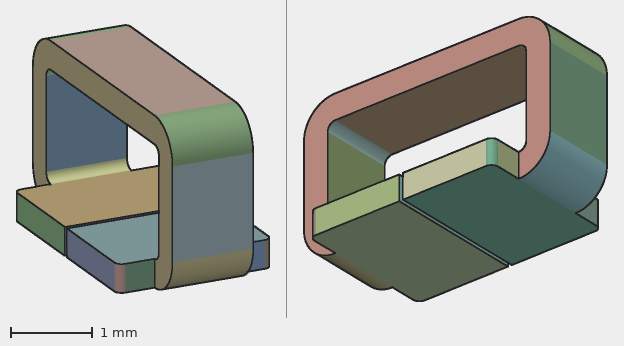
import cadquery as cq

length = 3.9
height = 2.25
foot_depth = 2.1
band_width = 1.1
thickness = 0.38
bend_radius = 0.5
foot_corner_radius = 0.1
gap = 0.06

inner_bend_radius = bend_radius - thickness
feet_length = length - 2 * bend_radius


def rounded_bar(size_x, size_z, radius):
    """Bar of band width along Y with its four Y edges rounded, centred on the origin."""
    return cq.Workplane("XY").box(size_x, band_width, size_z).edges("|Y").fillet(radius)


def closed_loop():
    """Rectangular strip loop with concentric bends."""
    outside = rounded_bar(length, height, bend_radius)
    inside = rounded_bar(length - 2 * thickness, height - 2 * thickness, inner_bend_radius)
    return outside.cut(inside)


def feet_plate():
    """Wide plate spanning the straight bottom of the loop, with rounded outer corners."""
    return (
        cq.Workplane("XY", origin=(0, 0, -height / 2))
        .rect(feet_length, foot_depth)
        .extrude(thickness)
        .edges("|Z")
        .fillet(foot_corner_radius)
    )


def slit():
    """Cutter that separates the bottom plate into two feet."""
    return cq.Workplane("XY", origin=(0, 0, -height / 2)).rect(gap, foot_depth).extrude(thickness)


result = closed_loop().union(feet_plate()).cut(slit())